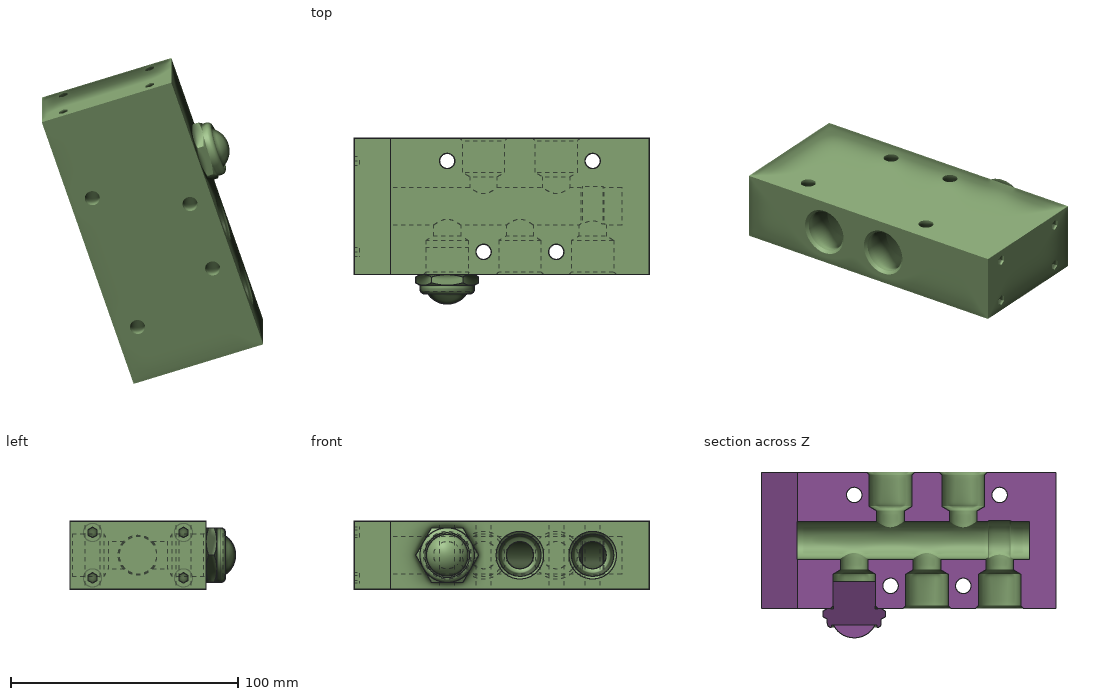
import cadquery as cq
import math

total_length = 130.0
width = 60.0
height = 30.0
cover_thickness = 16.0
mid_z = height / 2

port_pitch = 32.0
port_1_x = 73.0
front_port_xs = [port_1_x - port_pitch, port_1_x, port_1_x + port_pitch]
rear_port_xs = [port_1_x - port_pitch / 2, port_1_x + port_pitch / 2]
silencer_x = front_port_xs[0]

port_mouth_radius = 20.95 / 2
port_bore_radius = 18.63 / 2
port_inner_radius = 12.0 / 2
port_bore_depth = 15.0
drill_half_angle = math.radians(59)

mount_hole_diameter = 6.6
mount_hole_inset = 10.0

spool_bore_radius = 16.5 / 2
spool_bore_end_wall = 12.0
groove_radius = 17.55 / 2
groove_mouth_width = 10.2
groove_floor_width = 9.0

screw_head_diameter = 8.0
screw_head_height = 5.0
screw_inset_y = 10.0
screw_inset_z = 5.0
socket_across_flats = 4.0
socket_depth = 2.5

hex_across_flats = 24.0
nut_height = 4.7
nut_chamfer_angle = math.radians(30)
collar_radius = hex_across_flats / 2
collar_height = 8.5
recess_radius = 19.8 / 2
collar_rounding = collar_radius - recess_radius
shank_radius = port_bore_radius
shank_depth = 12.0

dome_top = 13.0
dome_sphere_radius = 10.3
dome_radius = 18.3 / 2
dome_sphere_center = dome_top - dome_sphere_radius
dome_base = dome_sphere_center + math.sqrt(dome_sphere_radius**2 - dome_radius**2)


def corner_points(x_low, x_high, y_low, y_high):
    return [(x, y) for x in (x_low, x_high) for y in (y_low, y_high)]


def make_port_tool(x):
    """Chamfered bore with a drill-point floor and a smaller hole reaching the spool bore."""
    chamfer_end = port_mouth_radius - port_bore_radius
    cone_end = port_bore_depth + (port_bore_radius - port_inner_radius) / math.tan(drill_half_angle)
    profile = (
        cq.Workplane("XY")
        .polyline([
            (0, 0),
            (port_mouth_radius, 0),
            (port_bore_radius, chamfer_end),
            (port_bore_radius, port_bore_depth),
            (port_inner_radius, cone_end),
            (port_inner_radius, width / 2),
            (0, width / 2),
        ])
        .close()
    )
    return profile.revolve(360, (0, 0), (0, 1)).translate((x, 0, mid_z))


def make_spool_bore_tool():
    """Blind bore from the cover face, widened by the groove at port 3."""
    bore_end = total_length - spool_bore_end_wall
    groove_x = front_port_xs[-1]
    profile = (
        cq.Workplane("XY")
        .polyline([
            (cover_thickness, 0),
            (cover_thickness, spool_bore_radius),
            (groove_x - groove_mouth_width / 2, spool_bore_radius),
            (groove_x - groove_floor_width / 2, groove_radius),
            (groove_x + groove_floor_width / 2, groove_radius),
            (groove_x + groove_mouth_width / 2, spool_bore_radius),
            (bore_end, spool_bore_radius),
            (bore_end, 0),
        ])
        .close()
    )
    return profile.revolve(360, (0, 0), (1, 0)).translate((0, width / 2, mid_z))


def make_housing():
    body = cq.Workplane("XY").box(total_length - cover_thickness, width, height, centered=False)
    body = body.translate((cover_thickness, 0, 0))
    body = body.cut(make_spool_bore_tool())
    for x in front_port_xs:
        body = body.cut(make_port_tool(x))
    for x in rear_port_xs:
        rear_tool = make_port_tool(x).mirror("XZ").translate((0, width, 0))
        body = body.cut(rear_tool)

    hole_points = [(x, mount_hole_inset) for x in rear_port_xs]
    hole_points += [(x, width - mount_hole_inset) for x in (front_port_xs[0], front_port_xs[-1])]
    holes = cq.Workplane("XY").pushPoints(hole_points).circle(mount_hole_diameter / 2).extrude(height)
    return body.cut(holes)


def make_cover():
    """End cover with four flush socket-head screws that are one piece with it."""
    plate = cq.Workplane("XY").box(cover_thickness, width, height, centered=False)
    screw_points = corner_points(screw_inset_y, width - screw_inset_y, screw_inset_z, height - screw_inset_z)
    screws = cq.Workplane("YZ").pushPoints(screw_points)
    heads = screws.circle(screw_head_diameter / 2).extrude(screw_head_height)

    socket_across_corners = socket_across_flats / math.cos(math.pi / 6)
    socket = cq.Workplane("YZ").polygon(6, socket_across_corners).extrude(socket_depth)
    socket = socket.rotate((0, 0, 0), (1, 0, 0), 90)
    for y, z in screw_points:
        heads = heads.cut(socket.translate((0, y, z)), clean=False)

    recesses = cq.Workplane("YZ").pushPoints(screw_points).circle(screw_head_diameter / 2)
    plate = plate.cut(recesses.extrude(screw_head_height))
    return plate.union(heads, clean=False)


def place_on_front(shape):
    """Turn a shape built along +Z so that it points out of the silencer port."""
    return shape.rotate((0, 0, 0), (1, 0, 0), 90).translate((silencer_x, 0, mid_z))


def make_silencer():
    hex_corner_radius = hex_across_flats / 2 / math.cos(math.pi / 6)
    nut = cq.Workplane("XY").polygon(6, 2 * hex_corner_radius).extrude(nut_height)

    chamfer_drop = (hex_corner_radius - collar_radius) * math.tan(nut_chamfer_angle)
    chamfer_envelope = (
        cq.Workplane("XZ")
        .polyline([
            (0, 0),
            (collar_radius, 0),
            (hex_corner_radius, chamfer_drop),
            (hex_corner_radius, nut_height - chamfer_drop),
            (collar_radius, nut_height),
            (0, nut_height),
        ])
        .close()
        .revolve(360, (0, 0), (0, 1))
    )
    nut = nut.intersect(chamfer_envelope)

    rounding_start = collar_height - collar_rounding
    rounding_middle = (
        recess_radius + collar_rounding * math.sin(math.pi / 4),
        rounding_start + collar_rounding * math.cos(math.pi / 4),
    )
    turned = (
        cq.Workplane("XZ")
        .moveTo(0, -shank_depth)
        .lineTo(shank_radius, -shank_depth)
        .lineTo(shank_radius, 0)
        .lineTo(collar_radius, 0)
        .lineTo(collar_radius, rounding_start)
        .threePointArc(rounding_middle, (recess_radius, collar_height))
        .lineTo(recess_radius, dome_base)
        .lineTo(0, dome_base)
        .close()
        .revolve(360, (0, 0), (0, 1))
    )
    return place_on_front(turned.union(nut))


def make_dome():
    half_angle = math.asin(dome_radius / dome_sphere_radius) / 2
    arc_middle = (
        dome_sphere_radius * math.sin(half_angle),
        dome_sphere_center + dome_sphere_radius * math.cos(half_angle),
    )
    dome = (
        cq.Workplane("XZ")
        .moveTo(0, dome_base)
        .lineTo(dome_radius, dome_base)
        .threePointArc(arc_middle, (0, dome_top))
        .close()
        .revolve(360, (0, 0), (0, 1))
    )
    return place_on_front(dome)


housing = make_housing()
cover = make_cover()
silencer = make_silencer()
dome = make_dome()

bodies = [housing, cover, silencer, dome]
result = cq.Compound.makeCompound([body.solids().val() for body in bodies])